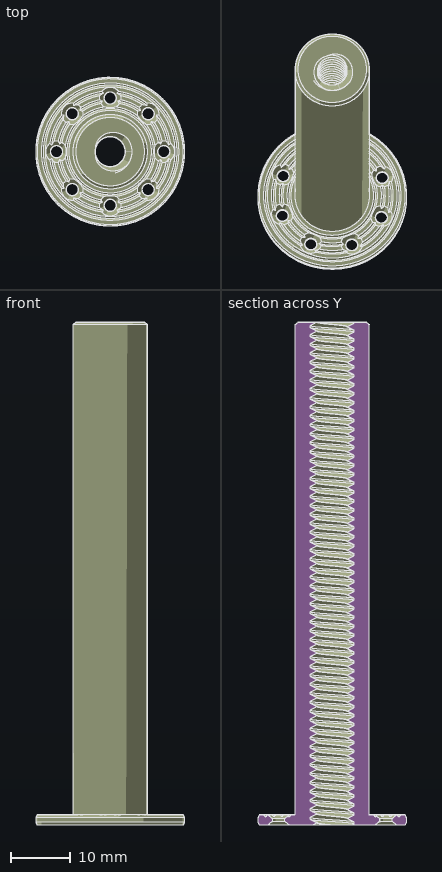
import cadquery as cq
import math

TOTAL_HEIGHT = 84.38
FLANGE_DIAMETER = 25.0
POST_DIAMETER = FLANGE_DIAMETER / 2

FLANGE_THICKNESS = 1.75
FLANGE_EDGE_HEIGHT = 0.5
FLANGE_EDGE_INSET = 0.25

GROOVE_COUNT = 4
FIRST_GROOVE_RADIUS = 7.25
GROOVE_PITCH = 1.32
GROOVE_WIDTH = 0.65
GROOVE_DEPTH = GROOVE_WIDTH / 2

HOLE_COUNT = 8
HOLE_DIAMETER = 2.0
HOLE_RING_RADIUS = 9.0
COUNTERSINK_DIAMETER = 3.6
COUNTERSINK_DEPTH = 0.65

POST_EDGE_HEIGHT = 0.38
POST_EDGE_INSET = 0.5

THREAD_MINOR_DIAMETER = 5.0
THREAD_MAJOR_DIAMETER = 7.3
THREAD_PITCH = 1.5
THREAD_CREST_WIDTH = 0.05
THREAD_ROOT_WIDTH = 0.3


def revolve_profile(points):
    """Revolve a closed (radius, height) outline about the Z axis."""
    return cq.Workplane("XZ").polyline(points).close().revolve(360, (0, 0, 0), (0, 1, 0))


def make_body():
    """Flange and post as one turned shape, with bevelled edges."""
    flange_radius = FLANGE_DIAMETER / 2
    flange_face_radius = flange_radius - FLANGE_EDGE_INSET
    post_radius = POST_DIAMETER / 2
    return revolve_profile([
        (0, 0),
        (flange_face_radius, 0),
        (flange_radius, FLANGE_EDGE_HEIGHT),
        (flange_radius, FLANGE_THICKNESS - FLANGE_EDGE_HEIGHT),
        (flange_face_radius, FLANGE_THICKNESS),
        (post_radius, FLANGE_THICKNESS),
        (post_radius, TOTAL_HEIGHT - POST_EDGE_HEIGHT),
        (post_radius - POST_EDGE_INSET, TOTAL_HEIGHT),
        (0, TOTAL_HEIGHT),
    ])


def make_groove(radius):
    """Ring-shaped V cutter sunk into the upper face of the flange."""
    return revolve_profile([
        (radius - GROOVE_WIDTH / 2, FLANGE_THICKNESS),
        (radius, FLANGE_THICKNESS - GROOVE_DEPTH),
        (radius + GROOVE_WIDTH / 2, FLANGE_THICKNESS),
    ])


def make_flange_hole(angle):
    """Through hole countersunk from both faces, at the given angle round the ring."""
    hole_radius = HOLE_DIAMETER / 2
    countersink_radius = COUNTERSINK_DIAMETER / 2
    cutter = revolve_profile([
        (0, 0),
        (countersink_radius, 0),
        (hole_radius, COUNTERSINK_DEPTH),
        (hole_radius, FLANGE_THICKNESS - COUNTERSINK_DEPTH),
        (countersink_radius, FLANGE_THICKNESS),
        (0, FLANGE_THICKNESS),
    ])
    x = HOLE_RING_RADIUS * math.cos(angle)
    y = HOLE_RING_RADIUS * math.sin(angle)
    return cutter.translate((x, y, 0))


def make_threaded_bore():
    """Solid filling the threaded bore, from below the flange to above the post.

    The wall is built one turn at a time from ruled strips between helices. Each end is
    closed by a one-turn ramp to the axis and a flat step joining the ends of the ramp.
    The thread root meets the top face of the post on the +X side.
    """
    minor_radius = THREAD_MINOR_DIAMETER / 2
    major_radius = THREAD_MAJOR_DIAMETER / 2
    half_crest = THREAD_CREST_WIDTH / 2
    half_root = THREAD_ROOT_WIDTH / 2

    wall_corners = [
        (minor_radius, -half_crest),
        (minor_radius, half_crest),
        (major_radius, THREAD_PITCH / 2 - half_root),
        (major_radius, THREAD_PITCH / 2 + half_root),
        (minor_radius, THREAD_PITCH - half_crest),
    ]
    spare_turns = 2
    turns_below_top = math.ceil(TOTAL_HEIGHT / THREAD_PITCH) + spare_turns
    turn_count = turns_below_top + spare_turns
    first_crest = TOTAL_HEIGHT - (turns_below_top + 0.5) * THREAD_PITCH
    last_crest = first_crest + turn_count * THREAD_PITCH

    def one_turn(radius, height):
        helix = cq.Wire.makeHelix(THREAD_PITCH, THREAD_PITCH, radius)
        return helix.translate(cq.Vector(0, 0, height))

    def end_faces(crest_height):
        edge_height = crest_height - half_crest
        axis_line = cq.Edge.makeLine(
            cq.Vector(0, 0, edge_height),
            cq.Vector(0, 0, edge_height + THREAD_PITCH),
        )
        rim = one_turn(minor_radius, edge_height)
        ramp = cq.Face.makeRuledSurface(cq.Wire.assembleEdges([axis_line]), rim)
        step_corners = [(0, -half_crest), *wall_corners, (0, THREAD_PITCH - half_crest)]
        step_points = [cq.Vector(radius, 0, crest_height + height) for radius, height in step_corners]
        step = cq.Face.makeFromWires(cq.Wire.makePolygon(step_points, close=True))
        return [ramp, step]

    faces = end_faces(first_crest)
    for turn in range(turn_count):
        height = first_crest + turn * THREAD_PITCH
        helices = [one_turn(radius, height + offset) for radius, offset in wall_corners]
        for lower, upper in zip(helices, helices[1:]):
            faces.append(cq.Face.makeRuledSurface(lower, upper))
    faces += end_faces(last_crest)
    return cq.Workplane(cq.Solid.makeSolid(cq.Shell.makeShell(faces)))


result = make_body()
for index in range(GROOVE_COUNT):
    result = result.cut(make_groove(FIRST_GROOVE_RADIUS + index * GROOVE_PITCH))
for index in range(HOLE_COUNT):
    result = result.cut(make_flange_hole(2 * math.pi * index / HOLE_COUNT))
result = result.cut(make_threaded_bore(), clean=False)